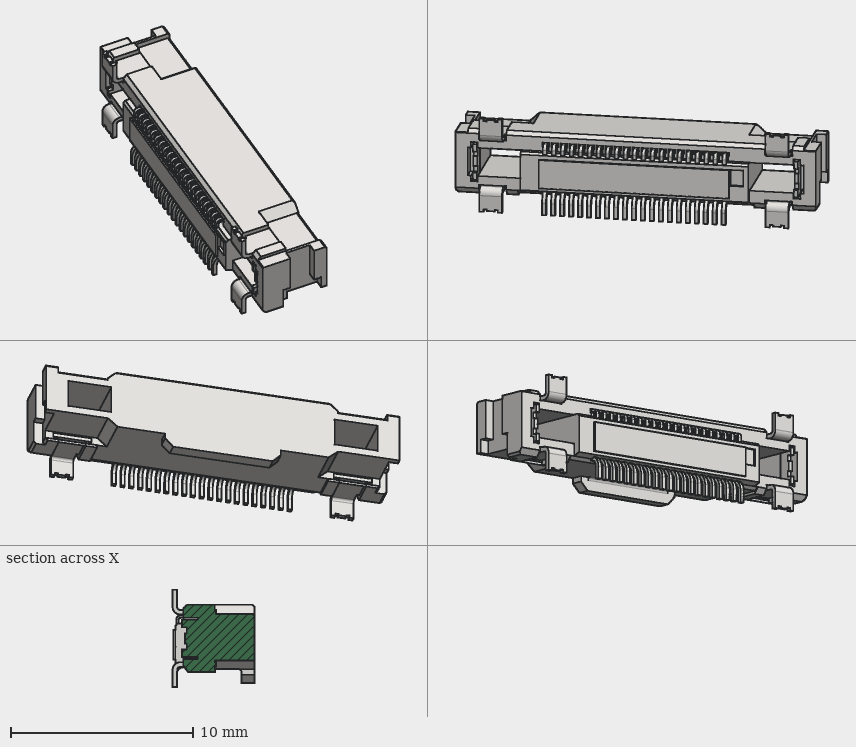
import cadquery as cq


length = 20.1
half_length = length / 2
back_y = 3.92
top_z = 1.85
front_chamfer = 0.22
back_chamfer = 0.12
bottom_z = -1.69
bottom_chamfer_z = -1.5
pad_bottom_z = -top_z
pad_chamfer_y = 0.28
pad_back_y = 1.77
pad_inner_x = 6.57
pad_edge_chamfer = 0.15

end_block_inner_x = 9.37
end_top_z = 1.67
step_y = 1.75
recess_top_z = 1.35
recess_bottom_z = -1.23
ramp_outer_x = 6.55
ramp_inner_x = 6.0
side_notch_x = 9.53
side_notch_y = (1.69, 3.14)
wide_notch_y = (1.27, 3.58)
wide_notch_top_z = -0.48

window_inner_x = 6.35
window_outer_x = 8.8
window_half_z = 0.8
pocket_depth = 0.8
blade_outer_x = 9.07
blade_slot_outer_x = 9.19
blade_slot_half_z = 1.13
blade_half_z = 1.03
blade_inner_x = 8.85
blade_gap_half_z = 0.6
blade_stub_half_z = 0.28
blade_protrusion = 0.06
blade_stub_setback = 0.1
blade_gap_depth = 0.2

carrier_front_y = -0.42
carrier_top_z = 0.82
carrier_chamfer = 0.13
carrier_bottom_z = -1.35
cover_half_x = 5.3
cover_thickness = 0.12
cover_z = (-1.17, 0.46)
mark_x = (5.35, 6.07)
mark_z = (-0.46, 0.46)
mark_depth = 0.16

key_half_x = 3.3
key_front_y = 3.2
key_bottom_z = -2.45
key_chamfer = 0.46
key_fillet = 0.16
key_fillet_half_x = 2.8

least_inner_bend = 0.06

foot_front_y = -0.58
tab_x = 7.98
tab_width = 1.27
tab_thickness = 0.26
tab_end_z = 2.67
tab_arm_top_z = 1.57
tab_bend = 0.42
tab_slot_width = 1.53
tab_narrow_y = 0.32
tab_shoulder_width = 2.17
tab_shoulder_y = 1.8
tab_notch_half_x = 0.4
tab_notch_depth = 0.06
tab_dip_width = 0.18
tab_dip_depth = 0.15

contact_count = 21
contact_span = 10.0
contact_pitch = contact_span / (contact_count - 1)
contact_width = 0.22
contact_embed = 0.2
tail_thickness = 0.22
tail_top_z = -1.37
tail_bend = 0.62
loop_front_y = -0.38
loop_top_z = 1.27
loop_thickness = 0.15
loop_bend = 0.26
loop_slot_width = 0.38
loop_slot_z = (1.1, 1.3)
loop_slot_depth = 0.16
loop_stem_slot_width = 0.3


def block(x_range, y_range, z_range):
    """Box between three coordinate ranges."""
    (x0, x1), (y0, y1), (z0, z1) = sorted(x_range), sorted(y_range), sorted(z_range)
    return cq.Workplane("XY").box(x1 - x0, y1 - y0, z1 - z0, centered=False).translate((x0, y0, z0))


def side_profile(points, x0, x1):
    """Closed (Y, Z) outline extruded from x0 to x1."""
    return cq.Workplane("YZ").workplane(offset=x0).polyline(points).close().extrude(x1 - x0)


def bent_strip(center_x, width, back, front, top, end, thickness, bend):
    """Strip running forward below height top, then bent to height end."""
    direction = 1 if end > top else -1
    near = top - thickness if direction > 0 else top
    far = near + direction * thickness
    inner_bend = max(bend - thickness, least_inner_bend)
    return (
        cq.Workplane("YZ")
        .workplane(offset=center_x - width / 2)
        .moveTo(back, near)
        .lineTo(front + bend, near)
        .radiusArc((front, near + direction * bend), direction * bend)
        .lineTo(front, end)
        .lineTo(front + thickness, end)
        .lineTo(front + thickness, far + direction * inner_bend)
        .radiusArc((front + thickness + inner_bend, far), -direction * inner_bend)
        .lineTo(back, far)
        .close()
        .extrude(width)
    )


def both_ends(feature):
    """Feature joined with its mirror image at the other end of the connector."""
    return feature.union(feature.mirror("YZ"))


def top_and_bottom(feature):
    """Feature joined with its mirror image on the other side of mid-height."""
    return feature.union(feature.mirror("XY"))


def make_body():
    outline = [
        (0, bottom_chamfer_z),
        (0, top_z - front_chamfer),
        (front_chamfer, top_z),
        (back_y - back_chamfer, top_z),
        (back_y, top_z - back_chamfer),
        (back_y, bottom_z),
        (front_chamfer, bottom_z),
    ]
    return side_profile(outline, -half_length, half_length)


def pad_edge_wedge(x, y_range):
    """Wedge that bevels the lower edge of a wall facing outward at x."""
    outline = [
        (x, pad_bottom_z + pad_edge_chamfer),
        (x + pad_edge_chamfer, pad_bottom_z),
        (x, pad_bottom_z),
    ]
    y0, y1 = y_range
    return cq.Workplane("XZ", origin=(0, y0, 0)).polyline(outline).close().extrude(y0 - y1)


def make_pad():
    """Raised pad under the front of one end, and the wedges that bevel its outward edges."""
    outline = [
        (0, bottom_chamfer_z),
        (pad_chamfer_y, pad_bottom_z),
        (pad_back_y, pad_bottom_z),
        (pad_back_y, bottom_chamfer_z),
    ]
    pad = side_profile(outline, -half_length, -pad_inner_x)
    outer_chamfer = pad_edge_wedge(-half_length, (0, pad_back_y))
    notch_chamfer = pad_edge_wedge(-side_notch_x, (wide_notch_y[0], pad_back_y))
    return pad, outer_chamfer.union(notch_chamfer)


def recess(outer_x, floor_z, surface_z):
    """Rear corner step whose inner end ramps up to the housing surface."""
    outline = [
        (-outer_x, floor_z),
        (-ramp_outer_x, floor_z),
        (-ramp_inner_x, surface_z),
        (-outer_x, surface_z),
    ]
    return cq.Workplane("XZ", origin=(0, step_y, 0)).polyline(outline).close().extrude(step_y - back_y)


def back_bevel(x_range, surface_z):
    """Wedge that bevels the rear edge of a top surface at height surface_z."""
    x0, x1 = x_range
    outline = [
        (back_y - back_chamfer, surface_z),
        (back_y, surface_z),
        (back_y, surface_z - back_chamfer),
    ]
    return side_profile(outline, x0, x1)


def make_end_cuts():
    whole_y = (0, back_y)
    outer_x = (-half_length, -side_notch_x)
    lowered_top = block((-half_length, -end_block_inner_x), whole_y, (end_top_z, top_z))
    side_notch = block(outer_x, side_notch_y, (pad_bottom_z, top_z))
    wide_notch = block(outer_x, wide_notch_y, (pad_bottom_z, wide_notch_top_z))
    window = block((-window_outer_x, -window_inner_x), whole_y, (-window_half_z, window_half_z))
    pocket = block(
        (-end_block_inner_x, -window_outer_x), (0, pocket_depth), (-window_half_z, window_half_z)
    )
    blade_slot = block(
        (-blade_slot_outer_x, -window_outer_x), (0, pocket_depth), (-blade_slot_half_z, blade_slot_half_z)
    )
    cuts = lowered_top.union(side_notch).union(wide_notch).union(window).union(pocket).union(blade_slot)
    cuts = cuts.union(recess(end_block_inner_x, recess_top_z, top_z))
    cuts = cuts.union(back_bevel((-half_length, -end_block_inner_x), end_top_z))
    cuts = cuts.union(back_bevel((-end_block_inner_x, -ramp_outer_x), recess_top_z))
    return cuts.union(recess(half_length, recess_bottom_z, bottom_z))


def make_blade():
    blade_x = (-blade_outer_x, -blade_inner_x)
    blade = block(blade_x, (-blade_protrusion, pocket_depth), (-blade_half_z, blade_half_z))
    gap = block(blade_x, (-blade_protrusion, blade_gap_depth), (-blade_gap_half_z, blade_gap_half_z))
    stub = block(blade_x, (blade_stub_setback, blade_gap_depth), (-blade_stub_half_z, blade_stub_half_z))
    return blade.cut(gap).union(stub)


def make_tab_slot():
    slot_x = (-tab_x - tab_slot_width / 2, -tab_x + tab_slot_width / 2)
    return block(slot_x, (0, step_y), (tab_arm_top_z - tab_thickness, top_z))


def make_tab():
    arm_z = (tab_arm_top_z - tab_thickness, tab_arm_top_z)

    def plate(width, y_range):
        return block((-tab_x - width / 2, -tab_x + width / 2), y_range, arm_z)

    tab = bent_strip(
        -tab_x, tab_width, tab_narrow_y, foot_front_y, tab_arm_top_z, tab_end_z, tab_thickness, tab_bend
    )
    tab = tab.union(plate(tab_slot_width, (tab_narrow_y, step_y)))
    tab = tab.union(plate(tab_shoulder_width, (step_y, tab_shoulder_y)))

    foot_y = (foot_front_y, foot_front_y + tab_thickness)
    notch_x = (-tab_x - tab_notch_half_x, -tab_x + tab_notch_half_x)
    tab = tab.cut(block(notch_x, foot_y, (tab_end_z - tab_notch_depth, tab_end_z)))
    dip_z = (tab_end_z - tab_dip_depth, tab_end_z)
    tab = tab.cut(block((notch_x[0], notch_x[0] + tab_dip_width), foot_y, dip_z))
    return tab.cut(block((notch_x[1] - tab_dip_width, notch_x[1]), foot_y, dip_z))


def make_carrier():
    outline = [
        (0, carrier_top_z),
        (carrier_front_y + carrier_chamfer, carrier_top_z),
        (carrier_front_y, carrier_top_z - carrier_chamfer),
        (carrier_front_y, carrier_bottom_z),
        (0, bottom_chamfer_z),
    ]
    carrier = side_profile(outline, -window_inner_x, window_inner_x)
    cover_y = (carrier_front_y - cover_thickness, carrier_front_y)
    carrier = carrier.union(block((-cover_half_x, cover_half_x), cover_y, cover_z))
    return carrier.cut(block(mark_x, (carrier_front_y, carrier_front_y + mark_depth), mark_z))


def make_key_bar():
    chamfer_start_z = key_bottom_z + key_chamfer
    bar = (
        cq.Workplane("XZ", origin=(0, key_front_y, 0))
        .polyline([
            (-key_half_x, bottom_z),
            (-key_half_x, chamfer_start_z),
            (-key_half_x + key_chamfer, key_bottom_z),
            (key_half_x - key_chamfer, key_bottom_z),
            (key_half_x, chamfer_start_z),
            (key_half_x, bottom_z),
        ])
        .close()
        .extrude(key_front_y - back_y)
    )
    fillet = (
        cq.Workplane("YZ", origin=(-key_fillet_half_x, 0, 0))
        .moveTo(key_front_y, bottom_z)
        .lineTo(key_front_y - key_fillet, bottom_z)
        .radiusArc((key_front_y, bottom_z - key_fillet), key_fillet)
        .close()
        .extrude(2 * key_fillet_half_x)
    )
    return bar.union(fillet)


def contact_positions():
    """X centers of the contacts, spaced evenly about the middle."""
    return [(i - (contact_count - 1) / 2) * contact_pitch for i in range(contact_count)]


def make_loop_slot(x):
    """Clearance in the housing face where an upper contact loop leaves it."""
    head_x = (x - loop_slot_width / 2, x + loop_slot_width / 2)
    stem_x = (x - loop_stem_slot_width / 2, x + loop_stem_slot_width / 2)
    slot = block(head_x, (0, loop_slot_depth), loop_slot_z)
    return slot.union(block(stem_x, (0, loop_slot_depth), (carrier_top_z, loop_slot_z[0])))


def make_contact(x):
    """Upper loop bent down into the carrier, and lower solder tail."""
    loop = bent_strip(
        x, contact_width, contact_embed, loop_front_y, loop_top_z,
        carrier_top_z - contact_embed, loop_thickness, loop_bend,
    )
    tail = bent_strip(
        x, contact_width, contact_embed, foot_front_y, tail_top_z, -tab_end_z, tail_thickness, tail_bend
    )
    return loop, tail


pad, pad_bevels = make_pad()
housing = make_body().union(both_ends(pad))
housing = housing.cut(both_ends(make_end_cuts().union(pad_bevels)))
housing = housing.cut(both_ends(top_and_bottom(make_tab_slot())))
housing = housing.union(both_ends(make_blade()))
housing = housing.union(both_ends(top_and_bottom(make_tab())))
housing = housing.union(make_carrier()).union(make_key_bar())

loop_slots = []
contact_strips = []
for contact_x in contact_positions():
    loop_slots.append(make_loop_slot(contact_x).val())
    for strip in make_contact(contact_x):
        contact_strips.append(strip.val())

connector = housing.val().cut(*loop_slots).fuse(*contact_strips)
result = cq.Workplane(connector).solids()